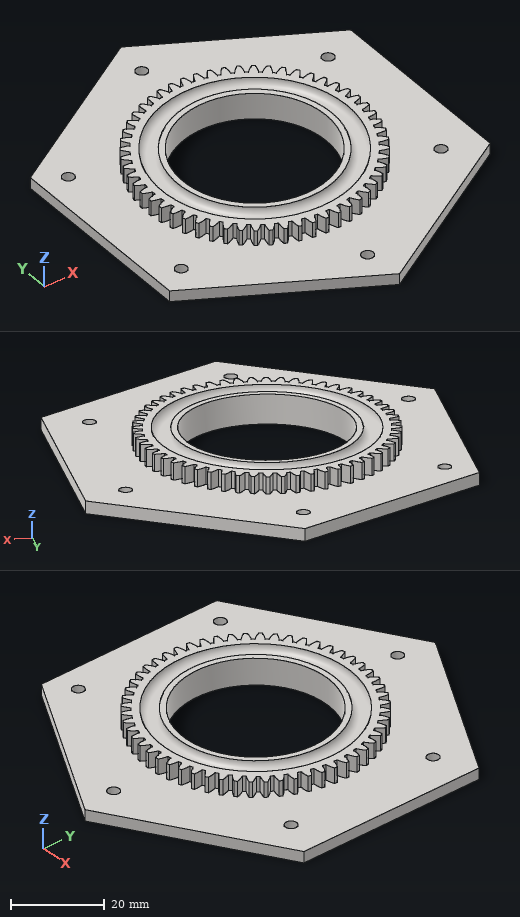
import cadquery as cq
import math

plate_corner_diameter = 99.6
plate_thickness = 3.0

ring_center_x = -1.5
ring_height = 4.0
total_height = plate_thickness + ring_height
bore_radius = 19.2

tooth_count = 56
tooth_module = 1.0
pressure_angle = math.radians(20)
first_tooth_angle = math.radians(2.1)
tip_radius = 29.0
root_radius = 26.8
pitch_radius = tip_radius - tooth_module
base_radius = pitch_radius * math.cos(pressure_angle)

groove_radius = 22.8
groove_round = 2.1

hole_count = 6
hole_diameter = 3.0
hole_circle_radius = 40.35
first_hole_angle = 30.0


def polar(radius, angle):
    return (radius * math.cos(angle), radius * math.sin(angle))


def half_tooth_angle(radius):
    """Half the angle a tooth spans at a radius, following its involute flank."""
    flank_angle = math.acos(base_radius / radius)
    at_pitch = math.tan(pressure_angle) - pressure_angle
    at_radius = math.tan(flank_angle) - flank_angle
    return math.pi / (2 * tooth_count) + at_pitch - at_radius


def make_plate():
    return (
        cq.Workplane("XY")
        .polygon(6, plate_corner_diameter)
        .extrude(plate_thickness)
        .rotate((0, 0, 0), (0, 0, 1), 90)
    )


def make_toothed_ring():
    pitch_angle = 2 * math.pi / tooth_count
    middle_radius = (root_radius + tip_radius) / 2
    root_half = half_tooth_angle(root_radius)
    middle_half = half_tooth_angle(middle_radius)
    tip_half = half_tooth_angle(tip_radius)

    outline = (
        cq.Workplane("XY", origin=(ring_center_x, 0, plate_thickness))
        .moveTo(*polar(root_radius, first_tooth_angle - root_half))
    )
    for index in range(tooth_count):
        angle = first_tooth_angle + index * pitch_angle
        next_angle = angle + pitch_angle
        outline = (
            outline
            .threePointArc(polar(middle_radius, angle - middle_half), polar(tip_radius, angle - tip_half))
            .threePointArc(polar(tip_radius, angle), polar(tip_radius, angle + tip_half))
            .threePointArc(polar(middle_radius, angle + middle_half), polar(root_radius, angle + root_half))
            .threePointArc(
                polar(root_radius, angle + pitch_angle / 2),
                polar(root_radius, next_angle - root_half),
            )
        )
    return outline.close().extrude(ring_height)


def make_groove_cutter():
    return (
        cq.Workplane("XZ", origin=(ring_center_x, 0, 0))
        .center(groove_radius, total_height)
        .circle(groove_round)
        .revolve(360, (-groove_radius, 0), (-groove_radius, 1))
    )


def make_bore_cutter():
    return cq.Workplane("XY", origin=(ring_center_x, 0, 0)).circle(bore_radius).extrude(total_height)


def make_screw_hole_cutters():
    return (
        cq.Workplane("XY", origin=(ring_center_x, 0, 0))
        .polarArray(hole_circle_radius, first_hole_angle, 360, hole_count)
        .circle(hole_diameter / 2)
        .extrude(plate_thickness)
    )


result = (
    make_plate()
    .union(make_toothed_ring())
    .cut(make_groove_cutter())
    .cut(make_bore_cutter())
    .cut(make_screw_hole_cutters())
)